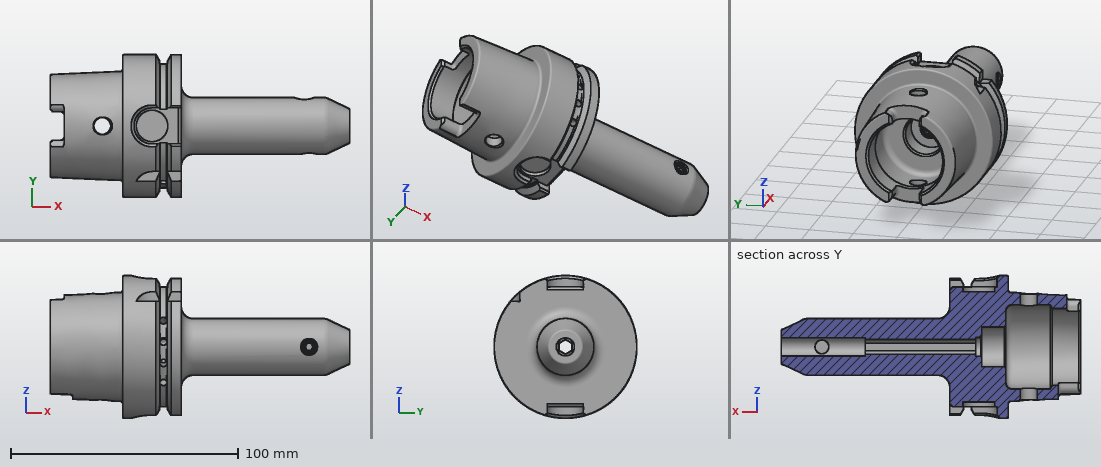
import cadquery as cq
import math

SELECT_TOL = 0.07

TAPER_FACE_R = 22.7
TAPER_GAUGE_R = 24.0
TAPER_LENGTH = 30.0
TAPER_END_ROUND = 0.9
NECK_ROUND = 1.0

FLANGE_R = 63.0 / 2
FLANGE_X0 = 32.0
FLANGE_X1 = 57.8
FLANGE_ROUND = 0.8
REAR_BEVEL = (0.8, 0.1)
GROOVE_R = 54.8 / 2
GROOVE_X0 = 48.2
GROOVE_X1 = 51.6
GROOVE_ROUND = 0.4
GROOVE_FRONT_BEVEL = 1.6
GROOVE_REAR_BEVEL = 1.7
GROOVE_SLOPE = math.tan(math.radians(60))

LENGTH = 132.0
SHANK_R = 12.5
SHANK_FILLET = 5.1
NOSE_X = 121.5
NOSE_R = 7.5
NOSE_SHOULDER_ROUND = 3.0
NOSE_TIP_ROUND = 0.9

MOUTH_R = 17.8
MOUTH_CHAMFER = 0.9
CLAMP_X = 12.7
CLAMP_R = MOUTH_R - MOUTH_CHAMFER
CHAMBER_R = 18.5
CHAMBER_SLOPE = math.tan(math.radians(60))
CHAMBER_END_X = 33.0
CHAMBER_ROUND = 2.6
HUB_R = 8.7
HUB_CHAMFER = 0.8
HUB_END_X = 43.5
PILOT_R = 4.1
PILOT_CHAMFER = 0.5
PILOT_DEPTH = 2.6
HEX_FLATS = 5.5
TOOL_BORE_R = 4.0
TOOL_BORE_X = 95.0

TAIL_SLOT_HALF = 6.2
TAIL_SLOT_ROUND = 3.0
TAIL_SLOT_OPEN_Z = 20.7
TAIL_SLOT_FLOOR_ROUND = 1.5
TAIL_SLOT_LEAD_IN = 1.2
UPPER_SLOT_DEPTH = 6.2
LOWER_SLOT_DEPTH = 9.9

CROSS_X = 23.0
CROSS_R = 3.7
CROSS_SINK = 0.5

KEYWAY_FLOOR = 26.4
KEYWAY_HALF = 7.9
KEYWAY_X = 44.9
KEYWAY_FRONT_CHAMFER = 1.3
KEYWAY_SIDE_CHAMFER = 1.0
KEYWAY_REAR_CHAMFER = 1.3
RECESS_R = 13.9 / 2
RECESS_DEPTH = 2.1

NOTCH_OFFSET = 20.0
NOTCH_X = 45.0
NOTCH_ROUND = 8.0

GROOVE_HOLE_ANGLES = (25, 5, -15, -35)
GROOVE_HOLE_R = 3.3 / 2
GROOVE_HOLE_DEPTH = 6.6
DRILL_TIP_HALF_ANGLE = math.radians(59)
SHANK_POCKET_X = 112.0
SHANK_POCKET_R = 4.5
SHANK_POCKET_DEPTH = 4.6

SCREW_X = 114.0
SCREW_R = 3.0
SCREW_HEAD_Y = 11.6
SCREW_CHAMFER = 0.4
SCREW_SINK = 0.7
SCREW_HEX_FLATS = 3.0
SCREW_HEX_SINK_R = 2.2
SCREW_HEX_DEPTH = 2.0


def ring_edge(body, x, radius):
    """Circular edges of a turned body at the given station and radius."""
    def matches(edge):
        start = edge.startPoint()
        return abs(start.x - x) < SELECT_TOL and abs(math.hypot(start.y, start.z) - radius) < SELECT_TOL

    return body.newObject([e for e in body.edges("%CIRCLE").vals() if matches(e)])


def turned(points):
    """Solid of revolution about the X axis from (x, radius) points."""
    return cq.Workplane("XY").polyline(points).close().revolve(360, (0, 0, 0), (1, 0, 0))


def cone(radius0, radius1, height, base, direction):
    return cq.Workplane(obj=cq.Solid.makeCone(radius0, radius1, height, base, direction))


def cylinder(radius, height, base, direction):
    return cq.Workplane(obj=cq.Solid.makeCylinder(radius, height, base, direction))


def hexagon_diameter(flats):
    """Diameter of the circle through the corners of a hexagon of the given width across flats."""
    return flats / math.cos(math.pi / 6)


def make_outside():
    bevel_length, bevel_drop = REAR_BEVEL
    body = turned([
        (0, 0),
        (0, TAPER_FACE_R),
        (TAPER_LENGTH, TAPER_GAUGE_R),
        (FLANGE_X0, TAPER_GAUGE_R),
        (FLANGE_X0, FLANGE_R),
        (GROOVE_X0 - GROOVE_FRONT_BEVEL, FLANGE_R),
        (GROOVE_X0, FLANGE_R - GROOVE_FRONT_BEVEL * GROOVE_SLOPE),
        (GROOVE_X0, GROOVE_R),
        (GROOVE_X1, GROOVE_R),
        (GROOVE_X1, FLANGE_R - GROOVE_REAR_BEVEL * GROOVE_SLOPE),
        (GROOVE_X1 + GROOVE_REAR_BEVEL, FLANGE_R),
        (FLANGE_X1 - bevel_length, FLANGE_R),
        (FLANGE_X1, FLANGE_R - bevel_drop),
        (FLANGE_X1, SHANK_R),
        (NOSE_X, SHANK_R),
        (LENGTH, NOSE_R),
        (LENGTH, 0),
    ])
    roundings = [
        (0, TAPER_FACE_R, TAPER_END_ROUND),
        (FLANGE_X0, TAPER_GAUGE_R, NECK_ROUND),
        (FLANGE_X0, FLANGE_R, FLANGE_ROUND),
        (GROOVE_X0, GROOVE_R, GROOVE_ROUND),
        (GROOVE_X1, GROOVE_R, GROOVE_ROUND),
        (FLANGE_X1, SHANK_R, SHANK_FILLET),
        (NOSE_X, SHANK_R, NOSE_SHOULDER_ROUND),
        (LENGTH, NOSE_R, NOSE_TIP_ROUND),
    ]
    for x, radius, rounding in roundings:
        body = ring_edge(body, x, radius).fillet(rounding)
    return body


def make_axial_bores():
    """Taper chamber, hub counterbore, hexagonal passage and tool bore as one cutter."""
    chamber_x = CLAMP_X + (CHAMBER_R - CLAMP_R) / CHAMBER_SLOPE
    chamber = turned([
        (0, 0),
        (0, MOUTH_R),
        (MOUTH_CHAMFER, CLAMP_R),
        (CLAMP_X, CLAMP_R),
        (chamber_x, CHAMBER_R),
        (CHAMBER_END_X, CHAMBER_R),
        (CHAMBER_END_X, 0),
    ])
    chamber = ring_edge(chamber, CHAMBER_END_X, CHAMBER_R).fillet(CHAMBER_ROUND)
    pilot_end_x = HUB_END_X + PILOT_DEPTH
    hub = turned([
        (CHAMBER_END_X, 0),
        (CHAMBER_END_X, HUB_R + HUB_CHAMFER),
        (CHAMBER_END_X + HUB_CHAMFER, HUB_R),
        (HUB_END_X, HUB_R),
        (HUB_END_X, PILOT_R + PILOT_CHAMFER),
        (HUB_END_X + PILOT_CHAMFER, PILOT_R),
        (pilot_end_x, PILOT_R),
        (pilot_end_x, 0),
    ])
    passage = (
        cq.Workplane("YZ", origin=(pilot_end_x, 0, 0))
        .transformed(rotate=(0, 0, 90))
        .polygon(6, hexagon_diameter(HEX_FLATS))
        .extrude(TOOL_BORE_X - pilot_end_x)
    )
    tool_bore = cylinder(TOOL_BORE_R, LENGTH - TOOL_BORE_X, (TOOL_BORE_X, 0, 0), (1, 0, 0))
    return chamber.union(hub).union(passage).union(tool_bore)


def make_tail_slot(depth):
    """Drive slot cutter on the +Z side, widening outwards between rounded walls."""
    bend_z = TAIL_SLOT_OPEN_Z - TAIL_SLOT_ROUND
    open_half = TAIL_SLOT_HALF + TAIL_SLOT_ROUND
    mid_offset = TAIL_SLOT_ROUND * math.sqrt(0.5)
    mid = (open_half - mid_offset, bend_z + mid_offset)
    slot = (
        cq.Workplane("YZ")
        .moveTo(-TAIL_SLOT_HALF, 0)
        .lineTo(TAIL_SLOT_HALF, 0)
        .lineTo(TAIL_SLOT_HALF, bend_z)
        .threePointArc(mid, (open_half, TAIL_SLOT_OPEN_Z))
        .lineTo(open_half, TAPER_GAUGE_R)
        .lineTo(-open_half, TAPER_GAUGE_R)
        .lineTo(-open_half, TAIL_SLOT_OPEN_Z)
        .threePointArc((-mid[0], mid[1]), (-TAIL_SLOT_HALF, bend_z))
        .close()
        .extrude(depth)
    )
    walls = cq.selectors.BoxSelector(
        (depth - SELECT_TOL, -open_half + SELECT_TOL, SELECT_TOL),
        (depth + SELECT_TOL, open_half - SELECT_TOL, TAIL_SLOT_OPEN_Z),
    )
    slot = slot.edges(walls).fillet(TAIL_SLOT_FLOOR_ROUND)
    lead_in_half = TAIL_SLOT_HALF + TAIL_SLOT_LEAD_IN
    lead_in = (
        cq.Workplane("XY")
        .polyline([
            (0, -lead_in_half),
            (0, lead_in_half),
            (TAIL_SLOT_LEAD_IN, TAIL_SLOT_HALF),
            (TAIL_SLOT_LEAD_IN, -TAIL_SLOT_HALF),
        ])
        .close()
        .extrude(TAIL_SLOT_OPEN_Z)
    )
    return slot.union(lead_in)


def make_cross_hole():
    """Hole through the taper along Z, countersunk at both outer ends."""
    hole = cylinder(CROSS_R, 2 * FLANGE_R, (CROSS_X, 0, -FLANGE_R), (0, 0, 1))
    gauge_slope = (TAPER_GAUGE_R - TAPER_FACE_R) / TAPER_LENGTH
    surface_z = TAPER_FACE_R + gauge_slope * CROSS_X
    sink_height = 2 * CROSS_SINK
    for side in (1, -1):
        sink = cone(
            CROSS_R,
            CROSS_R + sink_height,
            sink_height,
            (CROSS_X, 0, side * (surface_z - CROSS_SINK)),
            (0, 0, side),
        )
        hole = hole.union(sink)
    return hole


def rim_selector(x0, x1):
    """Selects the edges between keyway wall and flange rim that lie between two stations."""
    low_z = (KEYWAY_FLOOR + FLANGE_R) / 2
    return cq.selectors.BoxSelector(
        (x0 - SELECT_TOL, -KEYWAY_HALF - SELECT_TOL, low_z),
        (x1 + SELECT_TOL, KEYWAY_HALF + SELECT_TOL, FLANGE_R + SELECT_TOL),
        boundingbox=True,
    )


def cut_keyway(body):
    """Cut the keyway on the +Z side: open to the rear, with a round front end and a disc recess."""
    floor = cq.Workplane("XY", origin=(KEYWAY_X, 0, KEYWAY_FLOOR))
    height = FLANGE_R - KEYWAY_FLOOR
    run = FLANGE_X1 - KEYWAY_X
    channel = floor.center(run / 2, 0).rect(run, 2 * KEYWAY_HALF).extrude(height)
    round_end = floor.circle(KEYWAY_HALF).extrude(height)
    body = body.cut(channel.union(round_end))

    front_edges = rim_selector(KEYWAY_X - KEYWAY_HALF, GROOVE_X0 - GROOVE_FRONT_BEVEL)
    body = body.edges(front_edges).chamfer(KEYWAY_FRONT_CHAMFER)
    rear_edges = rim_selector(GROOVE_X1 + GROOVE_REAR_BEVEL, FLANGE_X1 - REAR_BEVEL[0])
    body = body.edges(rear_edges).chamfer(KEYWAY_SIDE_CHAMFER)

    recess = floor.circle(RECESS_R).extrude(-RECESS_DEPTH)
    rear_chamfer = (
        cq.Workplane("XZ", origin=(0, KEYWAY_HALF, 0))
        .polyline([
            (FLANGE_X1 - KEYWAY_REAR_CHAMFER, KEYWAY_FLOOR),
            (FLANGE_X1, KEYWAY_FLOOR),
            (FLANGE_X1, KEYWAY_FLOOR - KEYWAY_REAR_CHAMFER),
        ])
        .close()
        .extrude(2 * KEYWAY_HALF)
    )
    return body.cut(recess).cut(rear_chamfer)


def make_notch():
    """Step cut out of the -Y, +Z corner of the flange, with a milled round front end."""
    reach = NOTCH_OFFSET + 2 * NOTCH_ROUND
    mid_offset = NOTCH_ROUND * math.sqrt(0.5)
    return (
        cq.Workplane("XY", origin=(0, 0, NOTCH_OFFSET))
        .moveTo(FLANGE_X1, -NOTCH_OFFSET)
        .lineTo(NOTCH_X, -NOTCH_OFFSET)
        .threePointArc(
            (NOTCH_X - mid_offset, -NOTCH_OFFSET - NOTCH_ROUND + mid_offset),
            (NOTCH_X - NOTCH_ROUND, -NOTCH_OFFSET - NOTCH_ROUND),
        )
        .lineTo(NOTCH_X - NOTCH_ROUND, -reach)
        .lineTo(FLANGE_X1, -reach)
        .close()
        .extrude(FLANGE_R - NOTCH_OFFSET)
    )


def make_groove_hole(angle):
    """Blind drilled hole in the gripper groove, at an angle up from the -Y direction."""
    outward = cq.Vector(0, -math.cos(math.radians(angle)), math.sin(math.radians(angle)))
    axis_point = cq.Vector((GROOVE_X0 + GROOVE_X1) / 2, 0, 0)
    bottom = axis_point + outward * (GROOVE_R - GROOVE_HOLE_DEPTH)
    hole = cylinder(GROOVE_HOLE_R, GROOVE_HOLE_DEPTH + GROOVE_HOLE_R, bottom, outward)
    tip_depth = GROOVE_HOLE_R / math.tan(DRILL_TIP_HALF_ANGLE)
    return hole.union(cone(GROOVE_HOLE_R, 0, tip_depth, bottom, outward * -1))


def cut_screw_hole(body):
    """Cut the hole from the -Y side of the shank into the tool bore and chamfer its mouth."""
    body = body.cut(cylinder(SCREW_R, SHANK_R, (SCREW_X, 0, 0), (0, -1, 0)))
    reach = SCREW_R + SCREW_SINK
    mouth = cq.selectors.BoxSelector(
        (SCREW_X - reach, -SHANK_R - SCREW_SINK, -reach),
        (SCREW_X + reach, -SCREW_HEAD_Y, reach),
        boundingbox=True,
    )
    return body.edges(mouth).chamfer(SCREW_SINK)


def make_shank_pocket():
    """Blind pocket on the +Y side of the shank."""
    base = (SHANK_POCKET_X, SHANK_R - SHANK_POCKET_DEPTH, 0)
    return cylinder(SHANK_POCKET_R, SHANK_POCKET_DEPTH, base, (0, 1, 0))


def make_holder():
    holder = make_outside()
    for _ in range(2):
        holder = cut_keyway(holder).rotate((0, 0, 0), (1, 0, 0), 180)
    holder = cut_screw_hole(holder)
    holder = holder.cut(make_axial_bores())
    holder = holder.cut(make_tail_slot(UPPER_SLOT_DEPTH))
    holder = holder.cut(make_tail_slot(LOWER_SLOT_DEPTH).rotate((0, 0, 0), (1, 0, 0), 180))
    holder = holder.cut(make_cross_hole())
    holder = holder.cut(make_notch())
    for angle in GROOVE_HOLE_ANGLES:
        holder = holder.cut(make_groove_hole(angle))
    return holder.cut(make_shank_pocket())


def make_clamp_screw():
    """Socket set screw that fills the screw hole down to the tool bore."""
    screw = (
        cq.Workplane("XZ", origin=(SCREW_X, -TOOL_BORE_R, 0))
        .circle(SCREW_R)
        .extrude(SCREW_HEAD_Y - TOOL_BORE_R)
        .faces("<Y")
        .edges()
        .chamfer(SCREW_CHAMFER)
    )
    hex_diameter = hexagon_diameter(SCREW_HEX_FLATS)
    socket = (
        cq.Workplane("XZ", origin=(SCREW_X, -SCREW_HEAD_Y, 0))
        .polygon(6, hex_diameter)
        .extrude(-SCREW_HEX_DEPTH)
    )
    sink_depth = SCREW_HEX_SINK_R - hex_diameter / 2
    sink = cone(SCREW_HEX_SINK_R, hex_diameter / 2, sink_depth, (SCREW_X, -SCREW_HEAD_Y, 0), (0, 1, 0))
    return screw.cut(socket).cut(sink)


holder = make_holder()
clamp_screw = make_clamp_screw()

result = cq.Compound.makeCompound([holder.val(), clamp_screw.val()])